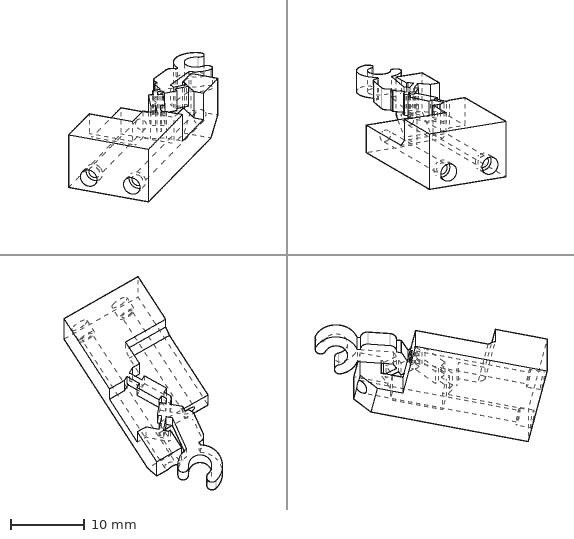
import cadquery as cq
import math

WIDTH = 11.87
HEIGHT = 8.0
BODY_LENGTH = 18.5
TOWER_LENGTH = 24.48
TOWER_LEFT = 7.85
TOWER_CHAMFER = 2.42

MECHANISM_THICKNESS = 3.0
FLOOR_GAP = 1.0
MECHANISM_BOTTOM = HEIGHT - MECHANISM_THICKNESS
FLOOR = MECHANISM_BOTTOM - FLOOR_GAP

NOTCH_RIGHT = 6.43
NOTCH_FRONT = 7.3
FRONT_STEP = 11.0
FRONT_WALL = 12.02
TOWER_WALL = 19.35
TOWER_SLOPE_START = 10.47
TOWER_SLOPE_END = (8.15, 21.5)

LEAF_WIDTH = 0.62
LEAF_OVERLAP = 0.15

LINK_ANGLE = 118
LINK_BASE = (8.6, 11.55)
LINK_LEAF_LENGTH = 2.0
LINK_BLOCK_LENGTH = 3.55
LINK_BLOCK_WIDTH = 2.0
LINK_REACH = 6.65

LEVER_ANGLE = 48
LEVER_CORNER = (7.0, 17.27)
LEVER_LENGTH = 1.9
LEVER_WIDTH = 3.17
LEVER_STUB_START = 0.8
LEVER_STUB_LENGTH = 1.05
TOWER_LEAF_START = 0.62
TOWER_LEAF_LENGTH = 2.0

ARM_ANGLE = 82
ARM_CORNER = (6.7, 20.13)
ARM_WIDTH = 2.0
ARM_ROOT = 0.95
ARM_LENGTH = 5.9
PAD_WIDTH = 2.98
PAD_START = -0.3
PAD_LENGTH = 4.97
PAD_FILLET = 0.95

CLIP_CENTER = (7.08, 28.05)
CLIP_INNER_RADIUS = 1.6
CLIP_OUTER_RADIUS = 3.08
CLIP_TIP_ANGLES = (103, 334)

HOLE_SPACING = 6.4
HOLE_FIRST_X = 2.98
HOLE_Z = 2.0
HOLE_DIAMETER = 1.62
COUNTERBORE_DIAMETER = 2.45
COUNTERBORE_DEPTH = 2.0


def prism(points, bottom, top):
    """Vertical prism over a closed plan outline."""
    return cq.Workplane("XY").workplane(offset=bottom).polyline(points).close().extrude(top - bottom)


def bar(origin, angle, along, across):
    """Mechanism bar; spans are measured along the angle and to its left."""
    size = (along[1] - along[0], across[1] - across[0], MECHANISM_THICKNESS)
    return (
        cq.Workplane("XY")
        .box(*size, centered=False)
        .translate((along[0], across[0], 0))
        .rotate((0, 0, 0), (0, 0, 1), angle)
        .translate((*origin, MECHANISM_BOTTOM))
    )


def polar(center, radius, degrees):
    angle = math.radians(degrees)
    return (center[0] + radius * math.cos(angle), center[1] + radius * math.sin(angle))


def make_base():
    body = cq.Workplane("XY").box(WIDTH, BODY_LENGTH, HEIGHT, centered=False)
    tower = (
        cq.Workplane("XY")
        .box(WIDTH - TOWER_LEFT, TOWER_LENGTH, HEIGHT, centered=False)
        .translate((TOWER_LEFT, 0, 0))
        .faces(">Y").edges("<Z").chamfer(TOWER_CHAMFER)
    )
    return body.union(tower)


def make_pocket():
    wall_slope = math.tan(math.radians(LINK_ANGLE - 90))
    seat_left = LINK_BASE[0] - (LINK_BASE[1] - FRONT_STEP) / wall_slope
    seat_right = LINK_BASE[0] + (FRONT_WALL - LINK_BASE[1]) / wall_slope
    plan = [
        (0, NOTCH_FRONT),
        (NOTCH_RIGHT, NOTCH_FRONT),
        (NOTCH_RIGHT, FRONT_STEP),
        (seat_left, FRONT_STEP),
        (seat_right, FRONT_WALL),
        (WIDTH, FRONT_WALL),
        (WIDTH, TOWER_WALL),
        (TOWER_SLOPE_START, TOWER_WALL),
        TOWER_SLOPE_END,
        (0, TOWER_SLOPE_END[1]),
    ]
    ramp = (
        cq.Workplane("YZ")
        .moveTo(NOTCH_FRONT, FLOOR)
        .lineTo(NOTCH_FRONT + FLOOR_GAP, FLOOR)
        .lineTo(NOTCH_FRONT, MECHANISM_BOTTOM)
        .close()
        .extrude(NOTCH_RIGHT)
    )
    return prism(plan, FLOOR, HEIGHT).cut(ramp)


def make_link():
    half_leaf = LEAF_WIDTH / 2
    half_block = LINK_BLOCK_WIDTH / 2
    block_span = (LINK_LEAF_LENGTH, LINK_LEAF_LENGTH + LINK_BLOCK_LENGTH)
    leaf = bar(LINK_BASE, LINK_ANGLE, (-LEAF_OVERLAP, LINK_REACH), (-half_leaf, half_leaf))
    return leaf.union(bar(LINK_BASE, LINK_ANGLE, block_span, (-half_block, half_block)))


def make_lever():
    stub_across = (LEVER_STUB_START, LEVER_STUB_START + LEAF_WIDTH)
    leaf_across = (TOWER_LEAF_START, TOWER_LEAF_START + LEAF_WIDTH)
    leaf_end = LEVER_LENGTH + TOWER_LEAF_LENGTH + LEAF_OVERLAP
    block = bar(LEVER_CORNER, LEVER_ANGLE, (0, LEVER_LENGTH), (0, LEVER_WIDTH))
    stub = bar(LEVER_CORNER, LEVER_ANGLE, (-LEVER_STUB_LENGTH, 0), stub_across)
    tower_leaf = bar(LEVER_CORNER, LEVER_ANGLE, (LEVER_LENGTH, leaf_end), leaf_across)
    return block.union(stub).union(tower_leaf)


def make_arm():
    neck = bar(ARM_CORNER, ARM_ANGLE, (-ARM_ROOT, ARM_LENGTH), (0, ARM_WIDTH))
    pad = bar(ARM_CORNER, ARM_ANGLE, (PAD_START, PAD_START + PAD_LENGTH), (ARM_WIDTH / 2, PAD_WIDTH))
    pad = pad.rotate((0, 0, 0), (0, 0, 1), -ARM_ANGLE).faces(">Y").edges("|Z").fillet(PAD_FILLET)
    pad = pad.rotate((0, 0, 0), (0, 0, 1), ARM_ANGLE)
    return neck.union(pad)


def make_clip():
    middle_radius = (CLIP_INNER_RADIUS + CLIP_OUTER_RADIUS) / 2
    tip_radius = (CLIP_OUTER_RADIUS - CLIP_INNER_RADIUS) / 2
    first, last = CLIP_TIP_ANGLES
    middle = (first + last) / 2

    return (
        cq.Workplane("XY")
        .workplane(offset=MECHANISM_BOTTOM)
        .moveTo(*polar(CLIP_CENTER, CLIP_OUTER_RADIUS, first))
        .threePointArc(
            polar(CLIP_CENTER, CLIP_OUTER_RADIUS, middle),
            polar(CLIP_CENTER, CLIP_OUTER_RADIUS, last),
        )
        .threePointArc(
            polar(polar(CLIP_CENTER, middle_radius, last), tip_radius, last + 90),
            polar(CLIP_CENTER, CLIP_INNER_RADIUS, last),
        )
        .threePointArc(
            polar(CLIP_CENTER, CLIP_INNER_RADIUS, middle),
            polar(CLIP_CENTER, CLIP_INNER_RADIUS, first),
        )
        .threePointArc(
            polar(polar(CLIP_CENTER, middle_radius, first), tip_radius, first - 90),
            polar(CLIP_CENTER, CLIP_OUTER_RADIUS, first),
        )
        .close()
        .extrude(MECHANISM_THICKNESS)
    )


def drill_mounting_holes(block):
    for x in (HOLE_FIRST_X, HOLE_FIRST_X + HOLE_SPACING):
        for diameter, depth in ((HOLE_DIAMETER, TOWER_LENGTH), (COUNTERBORE_DIAMETER, COUNTERBORE_DEPTH)):
            center = cq.Vector(x, 0, HOLE_Z)
            block = block.cut(cq.Solid.makeCylinder(diameter / 2, depth, center, cq.Vector(0, 1, 0)))
    return block


base = drill_mounting_holes(make_base().cut(make_pocket()))
result = base.union(make_link()).union(make_lever()).union(make_arm()).union(make_clip())